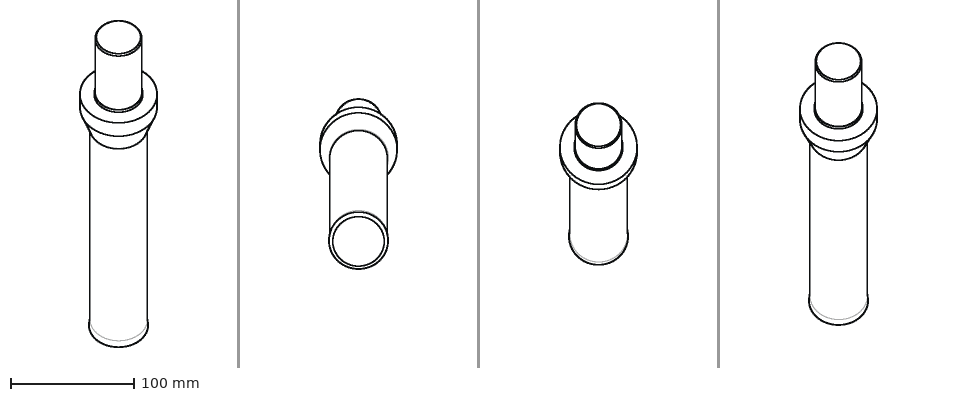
import cadquery as cq

total_height = 355.0
foot_flare_start = 10.0
foot_flare_end = 2.5
neck_level = 244.5
cone_base_level = 246.5
collar_base_level = 269.0
collar_top_level = 285.5
lip_height = 2.0

tube_diameter = 47.0
foot_diameter = 48.3
cone_base_diameter = 48.3
collar_diameter = 63.0
lip_base_diameter = 39.8
lip_top_diameter = 38.5
rod_diameter = 38.0

foot_chamfer_width = 3.2
rod_chamfer_height = 1.8
rod_chamfer_width = 1.0

bore_floor_level = neck_level


def make_housing():
    """Turned tube with a flared foot, conical shoulder, collar and rod lip."""
    lip_top_level = collar_top_level + lip_height
    profile = [
        (0, 0),
        (foot_diameter / 2 - foot_chamfer_width, 0),
        (foot_diameter / 2, foot_flare_end),
        (tube_diameter / 2, foot_flare_start),
        (tube_diameter / 2, neck_level),
        (cone_base_diameter / 2, cone_base_level),
        (collar_diameter / 2, collar_base_level),
        (collar_diameter / 2, collar_top_level),
        (lip_base_diameter / 2, collar_top_level),
        (lip_top_diameter / 2, lip_top_level),
        (rod_diameter / 2, lip_top_level),
        (rod_diameter / 2, bore_floor_level),
        (0, bore_floor_level),
    ]
    return revolve_profile(profile)


def make_rod():
    """Solid round rod with a steep chamfer around its top end."""
    rod_radius = rod_diameter / 2
    profile = [
        (0, bore_floor_level),
        (rod_radius, bore_floor_level),
        (rod_radius, total_height - rod_chamfer_height),
        (rod_radius - rod_chamfer_width, total_height),
        (0, total_height),
    ]
    return revolve_profile(profile)


def revolve_profile(profile):
    """Revolve a closed (radius, height) outline about the Z axis."""
    return cq.Workplane("XZ").polyline(profile).close().revolve(360, (0, 0), (0, 1))


housing = make_housing()
rod = make_rod()

result = cq.Compound.makeCompound([housing.val(), rod.val()])